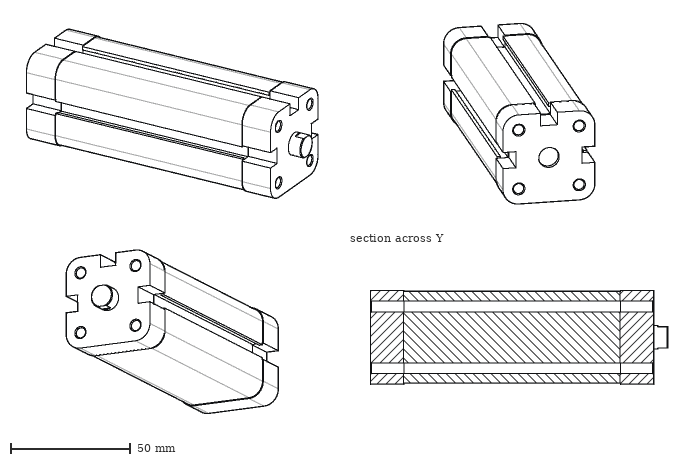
import cadquery as cq

TOTAL_LENGTH = 125.0
CAP_WIDTH = 39.5
ROD_PROJECTION = 6.0
BODY_LENGTH = TOTAL_LENGTH - ROD_PROJECTION

CAP_LENGTH = 14.0
CAP_SLOT_WIDTH = 7.1
CAP_SLOT_DEPTH = 5.5
PISTON_RECESS_DIAMETER = 8.8
PISTON_RECESS_DEPTH = 2.0

TUBE_SETBACK = 0.4
TUBE_WIDTH = CAP_WIDTH - 2 * TUBE_SETBACK
TUBE_LENGTH = BODY_LENGTH - 2 * CAP_LENGTH
TUBE_SLOT_FLOOR_RISE = 0.4
TUBE_SLOT_DEPTH = CAP_SLOT_DEPTH - TUBE_SETBACK - TUBE_SLOT_FLOOR_RISE
LIP_OPENING = 5.6
LIP_THICKNESS = 1.5

BOLT_OFFSET = 13.0
BOLT_HOLE_DIAMETER = 4.4
BOLT_MOUTH_DIAMETER = 5.2
BOLT_MOUTH_CHAMFER = (BOLT_MOUTH_DIAMETER - BOLT_HOLE_DIAMETER) / 2

ROD_DIAMETER = 10.0
ROD_WIDTH_ACROSS_FLATS = 9.0
ROD_COLLAR_LENGTH = 1.8
ROD_TIP_CHAMFER = 0.4

START = -TOTAL_LENGTH / 2
TUBE_START = START + CAP_LENGTH
FRONT_CAP_START = TUBE_START + TUBE_LENGTH
BODY_END = START + BODY_LENGTH

SLOT_ANGLES = (0, 90, -90)
BOLT_CENTRES = [(y, z) for y in (-BOLT_OFFSET, BOLT_OFFSET) for z in (-BOLT_OFFSET, BOLT_OFFSET)]


def section_plane(x):
    return cq.Workplane("YZ", origin=(x, 0, 0))


def rounded_bar(x, length, width):
    """Square bar along X whose corner rounds are centred on the bolt holes."""
    corner_radius = width / 2 - BOLT_OFFSET
    return section_plane(x).rect(width, width).extrude(length).edges("|X").fillet(corner_radius)


def cut_slot(body, x, length, width, top, bottom):
    """Cut one rectangular slot band between two heights, into the top and both sides."""
    band = section_plane(x).center(0, (top + bottom) / 2).rect(width, top - bottom).extrude(length)
    for angle in SLOT_ANGLES:
        body = body.cut(band.rotate((0, 0, 0), (1, 0, 0), angle))
    return body


def cut_bolt_holes(body, x, length):
    holes = section_plane(x).pushPoints(BOLT_CENTRES).circle(BOLT_HOLE_DIAMETER / 2).extrude(length)
    return body.cut(holes)


def make_cap(x, outer_face):
    """End cap starting at x, with bolt-hole mouths chamfered on its outer face."""
    surface = CAP_WIDTH / 2
    cap = rounded_bar(x, CAP_LENGTH, CAP_WIDTH)
    cap = cut_slot(cap, x, CAP_LENGTH, CAP_SLOT_WIDTH, surface, surface - CAP_SLOT_DEPTH)
    cap = cut_bolt_holes(cap, x, CAP_LENGTH)
    bolt_mouths = cap.faces(outer_face).edges(cq.selectors.RadiusNthSelector(0))
    return bolt_mouths.chamfer(BOLT_MOUTH_CHAMFER)


def make_rear_cap():
    recess = section_plane(START).circle(PISTON_RECESS_DIAMETER / 2).extrude(PISTON_RECESS_DEPTH)
    return make_cap(START, "<X").cut(recess)


def make_front_cap():
    rod_bore = section_plane(FRONT_CAP_START).circle(ROD_DIAMETER / 2).extrude(CAP_LENGTH)
    return make_cap(FRONT_CAP_START, ">X").cut(rod_bore)


def make_tube():
    """Profile with a lipped T-slot in the top and both sides."""
    surface = TUBE_WIDTH / 2
    lip_bottom = surface - LIP_THICKNESS
    floor = surface - TUBE_SLOT_DEPTH
    tube = rounded_bar(TUBE_START, TUBE_LENGTH, TUBE_WIDTH)
    tube = cut_slot(tube, TUBE_START, TUBE_LENGTH, LIP_OPENING, surface, lip_bottom)
    tube = cut_slot(tube, TUBE_START, TUBE_LENGTH, CAP_SLOT_WIDTH, lip_bottom, floor)
    return cut_bolt_holes(tube, TUBE_START, TUBE_LENGTH)


def make_rod():
    """Rod through the front cap, with two wrench flats facing up and down beyond its collar."""
    rod_length = CAP_LENGTH + ROD_PROJECTION
    rod = section_plane(FRONT_CAP_START).circle(ROD_DIAMETER / 2).extrude(rod_length)
    rod = rod.faces(">X").edges().chamfer(ROD_TIP_CHAMFER)
    flats_start = BODY_END + ROD_COLLAR_LENGTH
    flats_length = ROD_PROJECTION - ROD_COLLAR_LENGTH
    flats_section = section_plane(flats_start)
    outside_flats = flats_section.rect(2 * ROD_DIAMETER, 2 * ROD_DIAMETER).extrude(flats_length)
    between_flats = flats_section.rect(2 * ROD_DIAMETER, ROD_WIDTH_ACROSS_FLATS).extrude(flats_length)
    outside_flats = outside_flats.cut(between_flats)
    return rod.cut(outside_flats)


rear_cap = make_rear_cap()
front_cap = make_front_cap()
tube = make_tube()
rod = make_rod()

result = cq.Compound.makeCompound([rear_cap.val(), tube.val(), front_cap.val(), rod.val()])